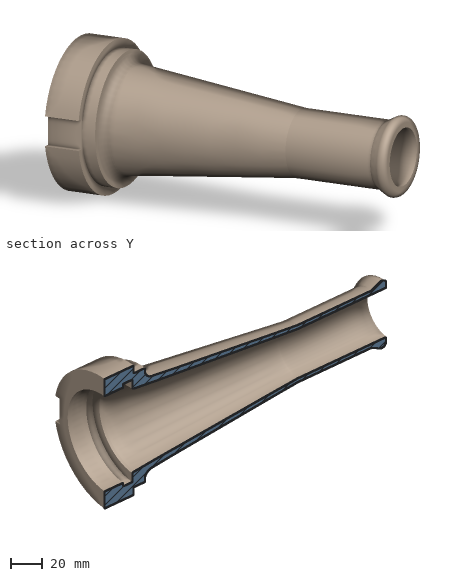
import cadquery as cq
import math

total_length = 228.5
collar_end = 23.8
shoulder_end = 33.0
taper_end = 156.5
bead_start = 216.5

collar_radius = 50.3
shoulder_radius = 44.3
taper_base_radius = 36.3
neck_radius = 22.5
root_fillet_radius = 6.5
bead_radius = 4.0

thread_radius = 36.8
thread_length = 15.0
relief_radius = 39.5
socket_depth = 22.5
lead_in_radius = 32.7
lead_in_length = 1.8
bore_taper_radius = 32
outlet_radius = 19.0

slot_width = 19.7
slot_floor = 45.0


def revolve_about_x(profile):
    return profile.close().revolve(360, (0, 0, 0), (1, 0, 0))


def make_body():
    taper_angle = math.atan2(taper_base_radius - neck_radius, taper_end - shoulder_end)
    fillet_x = shoulder_end + root_fillet_radius
    fillet_r = (
        taper_base_radius
        - root_fillet_radius * math.tan(taper_angle)
        + root_fillet_radius / math.cos(taper_angle)
    )
    fillet_mid_angle = math.pi / 4 - taper_angle / 2

    def fillet_point(angle):
        return (
            fillet_x - root_fillet_radius * math.cos(angle),
            fillet_r - root_fillet_radius * math.sin(angle),
        )

    bead_x = total_length - bead_radius
    flank_angle = math.asin(bead_radius / (bead_x - bead_start))

    def bead_point(angle):
        return (
            bead_x + bead_radius * math.cos(angle),
            neck_radius + bead_radius * math.sin(angle),
        )

    profile = (
        cq.Workplane("XY")
        .moveTo(0, 0)
        .lineTo(0, collar_radius)
        .lineTo(collar_end, collar_radius)
        .lineTo(collar_end, shoulder_radius)
        .lineTo(shoulder_end, shoulder_radius)
        .lineTo(*fillet_point(0))
        .threePointArc(fillet_point(fillet_mid_angle), fillet_point(math.pi / 2 - taper_angle))
        .lineTo(taper_end, neck_radius)
        .lineTo(bead_start, neck_radius)
        .lineTo(*bead_point(math.pi / 2 + flank_angle))
        .threePointArc(bead_point(math.pi / 4), bead_point(0))
        .lineTo(total_length, 0)
    )
    return revolve_about_x(profile)


def make_cavity():
    profile = (
        cq.Workplane("XY")
        .moveTo(0, 0)
        .lineTo(0, thread_radius)
        .lineTo(thread_length, thread_radius)
        .lineTo(thread_length, relief_radius)
        .lineTo(socket_depth, relief_radius)
        .lineTo(socket_depth, lead_in_radius)
        .lineTo(socket_depth + lead_in_length, bore_taper_radius)
        .lineTo(taper_end, outlet_radius)
        .lineTo(total_length, outlet_radius)
        .lineTo(total_length, 0)
    )
    return revolve_about_x(profile)


def make_slot(side):
    slot_depth = collar_radius - slot_floor
    slot_centre = (collar_end / 2, side * (slot_floor + slot_depth / 2), 0)
    return cq.Workplane("XY").box(collar_end, slot_depth, slot_width).translate(slot_centre)


result = make_body().cut(make_cavity())
for side in (-1, 1):
    result = result.cut(make_slot(side))